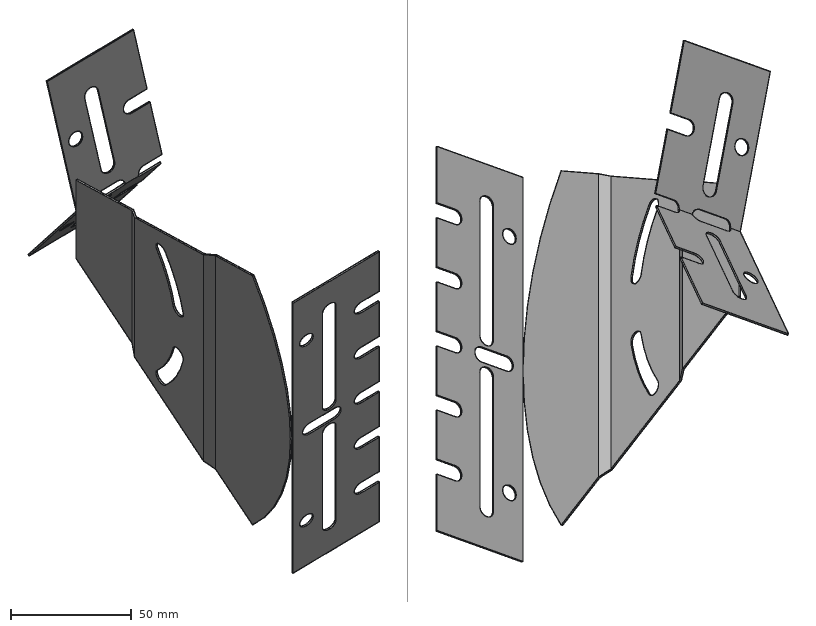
import cadquery as cq
import math

sheet = 0.8
strip_width = 45.0
hole_diameter = 7.0
hole_radius = hole_diameter / 2
notch_depth = 13.0
hole_y = 7.0
long_slot_y = 19.0
cross_slot_start = 5.0
cross_slot_length = 20.0

fan_radius = 146.5
fan_z = -0.7
narrow_half_height = 26.0
wide_half_height = 83.0
step_depth = 2.5
band_start = 38.5
band_end = 95.4
ramp_length = 5.0
arc_slot_radius = 74.7
arc_slot_middle = 23.0
arc_slot_half_span = 11.5

straight_length = 180.0
straight_notch_pitch = 30.0
straight_hole_z = 2 * straight_notch_pitch
straight_slot_start = 5.0
straight_slot_end = 75.0

arm_length = 70.0
arm_middle = arm_length / 2
arm_slot_start = 10.0
arm_slot_end = 55.0
fold_z = 2.9
upper_tilt = 17.0
lower_tilt = 28.0


def strip_plate(z_bottom, z_top):
    """Plain strip with its outer face on X = 0 and one edge on Y = 0."""
    size = (sheet, strip_width, z_top - z_bottom)
    return cq.Workplane("XY").box(*size, centered=False).translate((-sheet, 0, z_bottom))


def round_cutter(y, z):
    """Cylinder along X that passes right through a strip."""
    return cq.Workplane("YZ").center(y, z).circle(hole_radius).extrude(2 * sheet, both=True)


def slot_cutter(start, end):
    """Round-ended slot between two (y, z) cap centres, lying along Y or Z."""
    (y0, z0), (y1, z1) = start, end
    along_z = y0 == y1
    span = abs(z1 - z0) + abs(y1 - y0)
    body_size = (hole_diameter, span) if along_z else (span, hole_diameter)
    body = (
        cq.Workplane("YZ")
        .center((y0 + y1) / 2, (z0 + z1) / 2)
        .rect(*body_size)
        .extrude(2 * sheet, both=True)
    )
    return body.union(round_cutter(y0, z0)).union(round_cutter(y1, z1))


def notch_cutter(z):
    """Notch open to the +Y edge, with a round inner end."""
    inner_y = strip_width - notch_depth + hole_radius
    return slot_cutter((inner_y, z), (strip_width + hole_radius, z))


def cross_slot_cutter():
    """Slot across the strip, on Z = 0."""
    cross_slot_end = cross_slot_start + cross_slot_length
    return slot_cutter((cross_slot_start + hole_radius, 0), (cross_slot_end - hole_radius, 0))


def long_slot_cutter(z_start, z_end):
    """Slot along the strip, between its two outermost Z values."""
    return slot_cutter((long_slot_y, z_start + hole_radius), (long_slot_y, z_end - hole_radius))


def stepped_line(y, bend_shift):
    """Points of one sheet face; the shift moves its bends away from the band."""
    band_y = y - step_depth
    return [
        (0, y),
        (band_start - bend_shift, y),
        (band_start + ramp_length - bend_shift, band_y),
        (band_end - ramp_length + bend_shift, band_y),
        (band_end + bend_shift, y),
        (fan_radius, y),
    ]


def make_fan():
    ramp_angle = math.atan2(step_depth, ramp_length)
    bend_shift = sheet * math.tan(ramp_angle / 2)
    back_face = stepped_line(0, 0)
    front_face = stepped_line(-sheet, bend_shift)
    stepped = (
        cq.Workplane("XY")
        .polyline(back_face + front_face[::-1])
        .close()
        .extrude(wide_half_height, both=True)
    )

    reach = step_depth + 2 * sheet
    tip_x = math.sqrt(fan_radius**2 - wide_half_height**2)
    outline = (
        cq.Workplane("XZ")
        .moveTo(0, -narrow_half_height)
        .lineTo(tip_x, -wide_half_height)
        .threePointArc((fan_radius, 0), (tip_x, wide_half_height))
        .lineTo(0, narrow_half_height)
        .close()
        .extrude(reach, both=True)
    )
    fan = stepped.intersect(outline)
    for middle in (arc_slot_middle, -arc_slot_middle):
        fan = fan.cut(arc_slot_cutter(middle, reach))
    return fan.translate((0, 0, fan_z))


def arc_slot_cutter(middle, reach):
    """Curved slot concentric with the fan's edge, centred on the given angle."""
    def at(radius, angle):
        turn = math.radians(angle)
        return (radius * math.cos(turn), radius * math.sin(turn))

    inner = arc_slot_radius - hole_radius
    outer = arc_slot_radius + hole_radius
    low = middle - arc_slot_half_span
    high = middle + arc_slot_half_span
    band = (
        cq.Workplane("XZ")
        .moveTo(*at(inner, low))
        .threePointArc(at(inner, middle), at(inner, high))
        .lineTo(*at(outer, high))
        .threePointArc(at(outer, middle), at(outer, low))
        .close()
        .extrude(reach, both=True)
    )
    ends = [at(arc_slot_radius, low), at(arc_slot_radius, high)]
    caps = cq.Workplane("XZ").pushPoints(ends).circle(hole_radius).extrude(reach, both=True)
    return band.union(caps)


def make_straight_strip():
    strip = strip_plate(-straight_length / 2, straight_length / 2)
    strip = strip.cut(cross_slot_cutter())
    for step in range(-2, 3):
        strip = strip.cut(notch_cutter(step * straight_notch_pitch))
    for z in (-straight_hole_z, straight_hole_z):
        strip = strip.cut(round_cutter(hole_y, z))
    strip = strip.cut(long_slot_cutter(straight_slot_start, straight_slot_end))
    strip = strip.cut(long_slot_cutter(-straight_slot_end, -straight_slot_start))
    return strip.translate((fan_radius + sheet, 0, 0))


def make_arm():
    """One upright half of the folded strip, with the fold line on Z = 0."""
    arm = strip_plate(0, arm_length)
    arm = arm.cut(cross_slot_cutter())
    for z in (0, arm_middle):
        arm = arm.cut(notch_cutter(z))
    arm = arm.cut(round_cutter(hole_y, arm_middle))
    return arm.cut(long_slot_cutter(arm_slot_start, arm_slot_end))


def make_folded_strip():
    fold_axis = ((0, 0, 0), (0, 1, 0))
    upper = make_arm().rotate(*fold_axis, -upper_tilt)
    lower = make_arm().mirror("XY").rotate(*fold_axis, lower_tilt)
    return upper.union(lower).translate((0, 0, fold_z))


fan = make_fan()
straight_strip = make_straight_strip()
folded_strip = make_folded_strip()

result = cq.Compound.makeCompound([fan.val(), straight_strip.val(), folded_strip.val()])